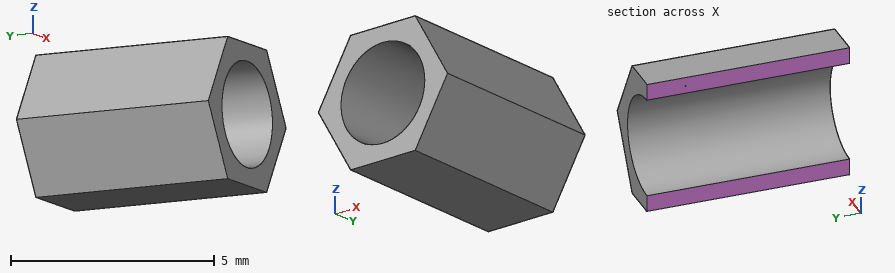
import cadquery as cq
import math

length = 5.33
across_flats = 3.56
bore_diameter = 2.665

across_corners = across_flats / math.cos(math.pi / 6)

hexagon_bar = (
    cq.Workplane("XZ")
    .polygon(6, across_corners)
    .extrude(length / 2, both=True)
)

bore = (
    cq.Workplane("XZ")
    .circle(bore_diameter / 2)
    .extrude(length / 2, both=True)
)

result = hexagon_bar.cut(bore)